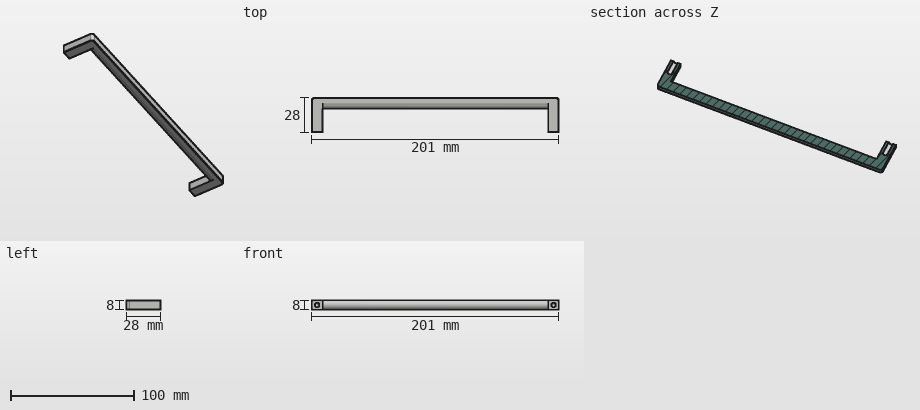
import cadquery as cq
import math

length = 201.0
depth = 28.0
height = 8.0

leg_width = 8.8
corner_radius = 2.5
edge_chamfer = 0.5
grip_flat_depth = 5.0
hole_diameter = 3.6
hole_depth = 12.0
drill_tip_angle = 118.0

back_y = depth / 2
foot_y = -depth / 2
grip_length = length - 2 * leg_width
leg_center_x = (length - leg_width) / 2


def make_leg(x):
    """Square leg running from the back of the handle to its foot."""
    return cq.Workplane("XY").box(leg_width, depth, height).translate((x, 0, 0))


def make_grip():
    """Bar with a flat back and a half-round front."""
    radius = height / 2
    arc_center_y = back_y - grip_flat_depth
    nose_y = arc_center_y - radius
    return (
        cq.Workplane("YZ", origin=(-grip_length / 2, 0, 0))
        .moveTo(back_y, -radius)
        .lineTo(back_y, radius)
        .lineTo(arc_center_y, radius)
        .threePointArc((nose_y, 0), (arc_center_y, -radius))
        .close()
        .extrude(grip_length)
    )


def make_screw_hole(x):
    """Blind hole with a conical drill tip, entering the foot of a leg."""
    radius = hole_diameter / 2
    tip_length = radius / math.tan(math.radians(drill_tip_angle / 2))
    return (
        cq.Workplane("XY", origin=(x, foot_y, 0))
        .lineTo(radius, 0)
        .lineTo(radius, hole_depth)
        .lineTo(0, hole_depth + tip_length)
        .close()
        .revolve(360, (0, 0, 0), (0, 1, 0))
    )


handle = make_grip()
for leg_x in (-leg_center_x, leg_center_x):
    handle = handle.union(make_leg(leg_x))

handle = handle.edges("|Z and >Y").edges("<X or >X").fillet(corner_radius)

outer_faces = handle.faces("<X or >X or >Y")
handle = outer_faces.edges(">Z or <Z").edges("not <Y").chamfer(edge_chamfer)

for leg_x in (-leg_center_x, leg_center_x):
    handle = handle.cut(make_screw_hole(leg_x))

result = handle